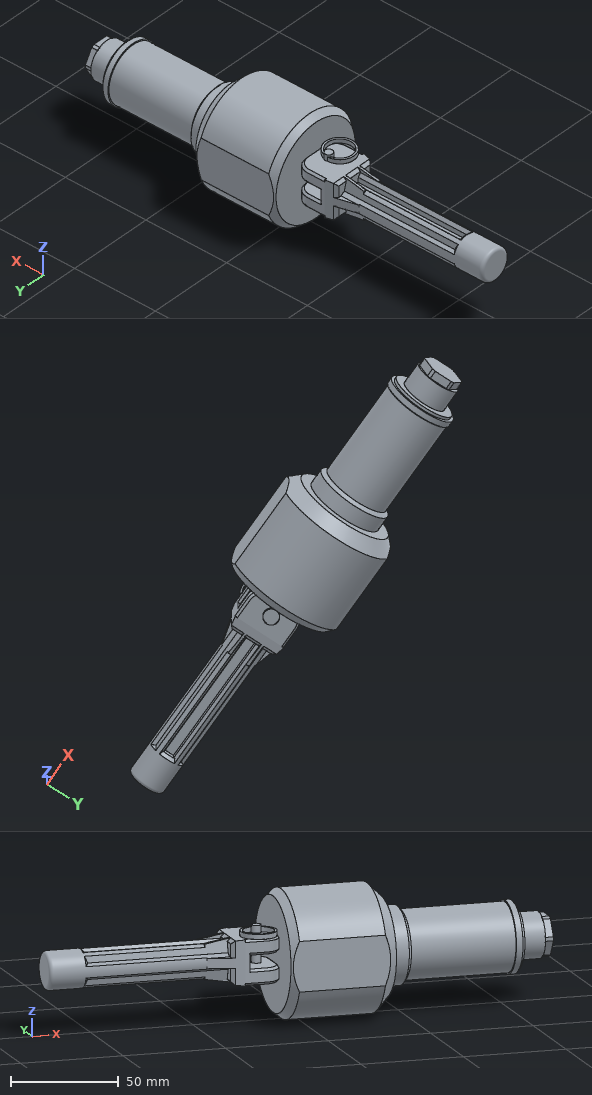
import cadquery as cq


BODY_START, BODY_END = 111.5, 164.0
BODY_DIA = 62.0
BODY_ACROSS_FLATS = 57.1
FRONT_CHAMFER_LENGTH, FRONT_CHAMFER_DEPTH = 4.0, 3.2
REAR_CHAMFER_LENGTH, REAR_CHAMFER_DEPTH = 6.5, 6.4
COLLAR_DIA, COLLAR_END = 38.0, 173.8
COLLAR_CHAMFER_LENGTH = 1.7
BARREL_DIA, BARREL_END = 33.5, 224.8
FLANGE_DIA, FLANGE_END = 35.0, 228.0
STEP_DIA, STEP_END = 31.6, 229.5
BOSS_DIA, BOSS_END = 22.5, 241.0

TOTAL_LENGTH = 245.2
HEX_ACROSS_FLATS = 19.1
HEX_CORNER_DIA = 21.0

ROD_DIA = 19.0
ROD_END_FILLET = 2.0
FLARE_START, FLARE_END = 76.5, 94.0
FLARE_START_WIDTH, FLARE_START_HEIGHT = 18.6, 17.0

FLUTE_START, FLUTE_END = 17.7, 89.2
FLUTE_END_BEVEL = 1.7
FLUTE_END_WIDTH, FLUTE_END_HEIGHT = 25.5, 21.3
RIB_HALF_HEIGHT, RIB_ROOT_HALF_HEIGHT = 2.5, 4.0
RIDGE_OUTER_Y, RIDGE_ROOT_Y = 5.6, 7.0
GROOVE_MOUTH_HALF_WIDTH, GROOVE_MOUTH_Z = 4.2, 8.3
GROOVE_NECK_HALF_WIDTH, GROOVE_NECK_Z = 2.7, 6.4
GROOVE_FLOOR_HALF_WIDTH, GROOVE_FLOOR_Z = 2.5, 3.7

CLEVIS_WIDTH, CLEVIS_HEIGHT = 27.5, 22.0
SLOT_START, SLOT_HEIGHT = 96.0, 6.5
EAR_CORNER_START, EAR_CORNER_RADIUS = 104.5, 8.0
EAR_END = EAR_CORNER_START + EAR_CORNER_RADIUS
EAR_CHAMFER = 1.2

PIN_X, PIN_DIA, PIN_TOP = 103.5, 4.7, 14.7
PIN_HEAD_DIA, PIN_HEAD_HEIGHT = 7.8, 1.5
RING_X, RING_Y = 102.5, -6.5
RING_OUTER_DIA, RING_INNER_DIA, RING_HEIGHT = 17.5, 15.0, 2.5


def cylinder_x(diameter, start, end):
    """Cylinder on the X axis between two X positions."""
    return cq.Workplane("YZ", origin=(start, 0, 0)).circle(diameter / 2).extrude(end - start)


def cylinder_z(diameter, x, y, start, end):
    """Upright cylinder between two heights."""
    return cq.Workplane("XY", origin=(x, y, start)).circle(diameter / 2).extrude(end - start)


def make_body():
    body = cylinder_x(BODY_DIA, BODY_START, BODY_END)
    body = body.faces("<X").chamfer(FRONT_CHAMFER_LENGTH, FRONT_CHAMFER_DEPTH)
    body = body.faces(">X").chamfer(REAR_CHAMFER_LENGTH, REAR_CHAMFER_DEPTH)
    flats = cq.Workplane("XY").box(2 * TOTAL_LENGTH, BODY_ACROSS_FLATS, 2 * BODY_DIA)
    return body.intersect(flats)


def make_shank():
    collar_chamfer = (COLLAR_DIA - BARREL_DIA) / 2
    shank = cylinder_x(COLLAR_DIA, BODY_END, COLLAR_END)
    shank = shank.faces(">X").chamfer(COLLAR_CHAMFER_LENGTH, collar_chamfer)
    shank = shank.union(cylinder_x(BARREL_DIA, BODY_END, BARREL_END))
    shank = shank.union(cylinder_x(FLANGE_DIA, BARREL_END, FLANGE_END))
    shank = shank.union(cylinder_x(STEP_DIA, FLANGE_END, STEP_END))
    return shank.union(cylinder_x(BOSS_DIA, STEP_END, BOSS_END))


def make_hex_tip():
    """Hexagon with two flats square to Y, its corners turned down."""
    hexagon = (
        cq.Workplane("YZ", origin=(BOSS_END, 0, 0))
        .transformed(rotate=(0, 0, 90))
        .polygon(6, HEX_ACROSS_FLATS, circumscribed=True)
        .extrude(TOTAL_LENGTH - BOSS_END)
    )
    turned = cylinder_x(HEX_CORNER_DIA, BOSS_END, TOTAL_LENGTH)
    return hexagon.intersect(turned)


def taper_x(start, start_size, end, end_size):
    """Block along X that changes from one (width, height) to another."""
    return (
        cq.Workplane("YZ", origin=(start, 0, 0))
        .rect(*start_size)
        .workplane(offset=end - start)
        .rect(*end_size)
        .loft()
    )


def flute_cutter(points):
    """Prism as long as the flutes with a closed outline in Y and Z."""
    profile = cq.Workplane("YZ", origin=(FLUTE_START, 0, 0)).polyline(points).close()
    return profile.extrude(FLUTE_END - FLUTE_START)


def make_notch():
    """Open corner notch on the +Y +Z side; the rib and ridge beside it thicken to their roots."""
    rod_radius = ROD_DIA / 2
    clear = CLEVIS_WIDTH
    return flute_cutter([
        (RIDGE_ROOT_Y, RIB_ROOT_HALF_HEIGHT),
        (rod_radius, RIB_HALF_HEIGHT),
        (clear, RIB_HALF_HEIGHT),
        (clear, clear),
        (RIDGE_OUTER_Y, clear),
        (RIDGE_OUTER_Y, rod_radius),
    ])


def make_groove():
    """Middle groove on the +Z side: nearly upright walls below a wide bevelled mouth."""
    one_side = [
        (GROOVE_FLOOR_HALF_WIDTH, GROOVE_FLOOR_Z),
        (GROOVE_NECK_HALF_WIDTH, GROOVE_NECK_Z),
        (GROOVE_MOUTH_HALF_WIDTH, GROOVE_MOUTH_Z),
        (GROOVE_MOUTH_HALF_WIDTH, CLEVIS_HEIGHT),
    ]
    other_side = [(-y, z) for y, z in reversed(one_side)]
    return flute_cutter(one_side + other_side)


def make_flute_ends():
    """Bevelled walls that close the flutes at both ends."""
    rod_wall = cylinder_x(ROD_DIA, FLUTE_START - FLUTE_END_BEVEL, FLUTE_START + FLUTE_END_BEVEL)
    rod_wall = rod_wall.faces(">X").chamfer(FLUTE_END_BEVEL)
    inner_size = (FLUTE_END_WIDTH - 2 * FLUTE_END_BEVEL, FLUTE_END_HEIGHT - 2 * FLUTE_END_BEVEL)
    outer_size = (FLUTE_END_WIDTH, FLUTE_END_HEIGHT)
    return rod_wall.union(taper_x(FLUTE_END - FLUTE_END_BEVEL, inner_size, FLUTE_END, outer_size))


def make_handle():
    start_size = (FLARE_START_WIDTH, FLARE_START_HEIGHT)
    middle_size = (FLUTE_END_WIDTH, FLUTE_END_HEIGHT)
    end_size = (CLEVIS_WIDTH, CLEVIS_HEIGHT)
    handle = cylinder_x(ROD_DIA, 0, FLARE_END).faces("<X").fillet(ROD_END_FILLET)
    handle = handle.union(taper_x(FLARE_START, start_size, FLUTE_END, middle_size))
    handle = handle.union(taper_x(FLUTE_END, middle_size, FLARE_END, end_size))
    notch = make_notch()
    groove = make_groove()
    for upper_flute in (notch, notch.mirror("XZ"), groove):
        handle = handle.cut(upper_flute).cut(upper_flute.mirror("XY"))
    return handle.union(make_flute_ends())


def make_clevis():
    web = cq.Workplane("YZ", origin=(FLARE_END, 0, 0)).rect(CLEVIS_WIDTH, SLOT_HEIGHT + 2 * EAR_CHAMFER)
    web = web.extrude(SLOT_START - FLARE_END)
    ear = (
        cq.Workplane("XY", origin=(0, 0, SLOT_HEIGHT / 2))
        .moveTo((FLARE_END + EAR_END) / 2, 0)
        .rect(EAR_END - FLARE_END, CLEVIS_WIDTH)
        .extrude((CLEVIS_HEIGHT - SLOT_HEIGHT) / 2)
        .edges(">X and |Z")
        .fillet(EAR_CORNER_RADIUS)
    )
    ear = ear.faces("|Z").edges("not <X").chamfer(EAR_CHAMFER)
    return web.union(ear).union(ear.mirror("XY"))


def make_pin():
    underside = -CLEVIS_HEIGHT / 2
    pin = cylinder_z(PIN_DIA, PIN_X, 0, underside, PIN_TOP)
    return pin.union(cylinder_z(PIN_HEAD_DIA, PIN_X, 0, underside - PIN_HEAD_HEIGHT, underside))


def make_ring():
    seat = CLEVIS_HEIGHT / 2
    ring = cylinder_z(RING_OUTER_DIA, RING_X, RING_Y, seat, seat + RING_HEIGHT)
    return ring.cut(cylinder_z(RING_INNER_DIA, RING_X, RING_Y, seat, seat + RING_HEIGHT))


result = make_body()
for piece in (make_shank(), make_hex_tip(), make_clevis(), make_handle(), make_pin(), make_ring()):
    result = result.union(piece)